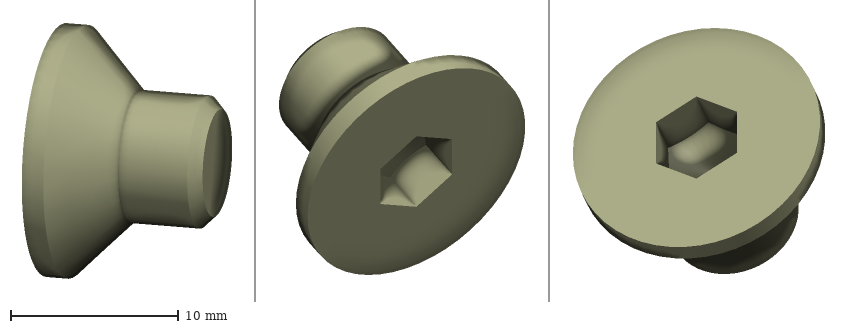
import cadquery as cq
import math

head_diameter = 15.24
shank_diameter = 8.0
total_length = 10.0
rim_thickness = 1.34
cone_length = (head_diameter - shank_diameter) / 2
tip_chamfer_length = 0.75
tip_chamfer_depth = 0.76

socket_across_flats = 5.0
corner_depth = 3.0
floor_cone_angle = 120.0


def screw_body():
    """Revolve the half profile of the head, shank and chamfered tip about X."""
    head_radius = head_diameter / 2
    shank_radius = shank_diameter / 2
    return (
        cq.Workplane("XY")
        .moveTo(0, 0)
        .lineTo(0, head_radius)
        .lineTo(rim_thickness, head_radius)
        .lineTo(rim_thickness + cone_length, shank_radius)
        .lineTo(total_length - tip_chamfer_length, shank_radius)
        .lineTo(total_length, shank_radius - tip_chamfer_depth)
        .lineTo(total_length, 0)
        .close()
        .revolve(360, (0, 0, 0), (1, 0, 0))
    )


def hex_socket():
    """Hexagonal prism, flats facing +Y and -Y, trimmed by a conical end."""
    corner_radius = socket_across_flats / 2 / math.cos(math.radians(30))
    floor_cone_depth = corner_radius / math.tan(math.radians(floor_cone_angle / 2))
    point_depth = corner_depth + floor_cone_depth
    prism = (
        cq.Workplane("YZ")
        .polygon(6, 2 * corner_radius)
        .extrude(point_depth)
        .rotate((0, 0, 0), (1, 0, 0), 90)
    )
    cone_base_radius = point_depth * math.tan(math.radians(floor_cone_angle / 2))
    floor_cone = cq.Solid.makeCone(
        cone_base_radius, 0, point_depth, cq.Vector(0, 0, 0), cq.Vector(1, 0, 0)
    )
    return prism.intersect(cq.Workplane(floor_cone))


result = screw_body().cut(hex_socket())